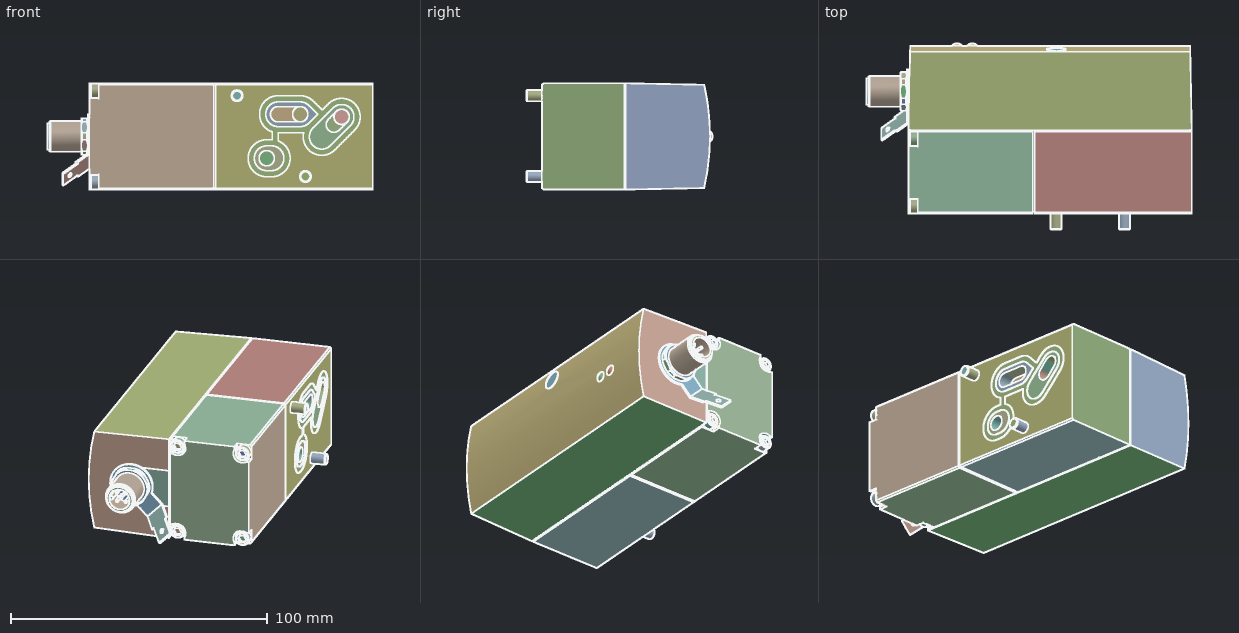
import cadquery as cq
import math


body_length = 110.4
body_height = 41.5
half_height = body_height / 2
block_depth = 32.1
block_edge_chamfer = 0.6
seam_width = 0.8
cover_gap = 0.5
seam_depth = 0.8
seam_core_half = half_height - seam_depth
block_seam_x = 48.7
cover_start_y = block_depth + cover_gap
cover_draft = 1.1
cover_edge_y = 63.2
cover_crown_y = 65.5

lamp_positions_x = (18.9, 24.9)
lamp_diameter = 4.0
lamp_top_y = 66.5
lamp_root = 0.4
button_x = 57.6
button_z = 15.2
button_diameter = 7.5
button_recess = 0.3

screw_inset_y = 2.9
screw_spacing_y = 26.4
screw_inset_z = 2.9
screw_head_diameter = 5.5
screw_head_recess = 0.3
screw_head_chamfer = 0.4
screw_socket_flats = 2.9
screw_socket_depth = 1.5
screw_pocket_diameter = 7.0
screw_opening_width = 6.0
screw_pocket_depth = 3.5

pin_positions = ((57.5, 15.9), (84.1, -15.6))
pin_diameter = 4.5
pin_length = 6.1
pin_chamfer = 0.4

port_diameter = 6.0
port_depth = 10.2
port_slot_depth = 6.3
land_radius = 4.8
seal_width = 2.4
seal_depth = 0.3
upper_port = (82.1, 8.6)
upper_slot_end = (73.5, 8.6)
angled_port = (98.2, 7.6)
angled_slot_run = 3.0
angled_land_run = 7.7
lower_port = (69.0, -8.5)
lower_land_end = (71.0, -8.5)
seal_bridge_x = 72.3

connector_y = 47.7
connector_length = 16.5
barrel_diameter = 12.0
tip_diameter = 10.4
tip_length = 0.8
tip_cone_end = 1.4
tip_cone_diameter = 11.3
socket_diameter = 8.2
socket_depth = 8.9
contact_diameter = 1.0
contact_offset = 1.8
contact_length = 6.3
key_diameter = 1.4
key_offset = 3.5
nut_diameter = 15.2
nut_flats = 14.3
nut_end = 3.2
nut_chamfer = 0.4
pad_width = 15.0
pad_thickness = 1.3

ring_diameter = 17.3
tab_thickness = 0.8
tab_width = 8.1
tab_bend_distance = 13.5
tab_rise = 9.9
tab_shoulder_distance = 18.1
tab_tip_width = 6.3
tab_hole_distance = 20.8
tab_hole_diameter = 1.8
tab_angle = 45.0


def box(x_range, y_range, z_range):
    """Box between pairs of limits."""
    size = [high - low for low, high in (x_range, y_range, z_range)]
    corner = (x_range[0], y_range[0], z_range[0])
    return cq.Workplane("XY").box(*size, centered=False).translate(corner)


def cylinder_x(diameter, start_x, end_x, y, z):
    """Cylinder along X."""
    plane = cq.Workplane("YZ", origin=(start_x, y, z))
    return plane.circle(diameter / 2).extrude(end_x - start_x)


def cylinder_y(diameter, start_y, end_y, x, z):
    """Cylinder along Y."""
    plane = cq.Workplane("XZ", origin=(x, start_y, z))
    return plane.circle(diameter / 2).extrude(start_y - end_y)


def hexagon_x(flats, start_x, end_x, y, z):
    """Hexagonal prism along X, sized across its flats."""
    corners = flats / math.cos(math.pi / 6)
    plane = cq.Workplane("YZ", origin=(start_x, y, z))
    return plane.polygon(6, corners).extrude(end_x - start_x)


def capsule(start, end, radius, depth):
    """Round-ended slot cutter between two (x, z) centres, sunk into the y = 0 face."""
    run_x = end[0] - start[0]
    run_z = end[1] - start[1]
    length = math.hypot(run_x, run_z)
    angle = math.degrees(math.atan2(run_z, run_x))
    plane = cq.Workplane("XZ").center((start[0] + end[0]) / 2, (start[1] + end[1]) / 2)
    return plane.slot2D(length + 2 * radius, 2 * radius, angle).extrude(-depth)


def down_left(point, run):
    """Point reached by going the same run towards -X and -Z."""
    return (point[0] - run, point[1] - run)


def make_block():
    block = box((0, body_length), (0, block_depth), (-half_height, half_height))
    block = block.faces("<Y").edges("|X").chamfer(block_edge_chamfer)
    seam_x = (block_seam_x - seam_width / 2, block_seam_x + seam_width / 2)
    seam = box(seam_x, (0, block_depth), (-half_height, half_height))
    seam = seam.cut(box(seam_x, (seam_depth, block_depth), (-seam_core_half, seam_core_half)))
    return block.cut(seam)


def make_seam_core():
    """Set-back strip that joins the block to the cover."""
    return box(
        (seam_depth, body_length - seam_depth),
        (block_depth - seam_depth, cover_start_y + seam_depth),
        (-seam_core_half, seam_core_half),
    )


def make_cover():
    """Drafted cover with a crowned +Y face, lamps, a button recess and a connector pad."""
    base = cq.Plane(origin=(body_length / 2, cover_start_y, 0), xDir=(1, 0, 0), normal=(0, 1, 0))
    cover = (
        cq.Workplane(base)
        .rect(body_length, body_height)
        .extrude(cover_crown_y - cover_start_y, taper=cover_draft)
    )
    edge_z = half_height - (cover_edge_y - cover_start_y) * math.tan(math.radians(cover_draft))
    crown = (
        cq.Workplane("YZ")
        .moveTo(cover_start_y, -half_height)
        .lineTo(cover_edge_y, -half_height)
        .lineTo(cover_edge_y, -edge_z)
        .threePointArc((cover_crown_y, 0), (cover_edge_y, edge_z))
        .lineTo(cover_edge_y, half_height)
        .lineTo(cover_start_y, half_height)
        .close()
        .extrude(body_length)
    )
    cover = cover.intersect(crown)
    recess = cylinder_y(button_diameter, cover_start_y, cover_crown_y, button_x, button_z)
    recess = recess.cut(crown.translate((0, -button_recess, 0)))
    cover = cover.cut(recess)
    for lamp_x in lamp_positions_x:
        cover = cover.union(make_lamp(lamp_x))
    pad_radius = pad_width / 2
    pad = box((0, pad_thickness), (cover_start_y, connector_y), (-pad_radius, pad_radius))
    return cover.union(pad).union(cylinder_x(pad_width, 0, pad_thickness, connector_y, 0))


def make_lamp(lamp_x):
    """Low dome standing on the crown."""
    radius = lamp_diameter / 2
    height = lamp_top_y - cover_crown_y
    sphere_radius = (radius**2 + height**2) / (2 * height)
    dome = cq.Workplane("XY").sphere(sphere_radius)
    dome = dome.translate((lamp_x, lamp_top_y - sphere_radius, 0))
    return dome.intersect(cylinder_y(lamp_diameter, cover_crown_y - lamp_root, lamp_top_y, lamp_x, 0))


def screw_places():
    """Centre of each screw with the directions in which its corner lies."""
    screw_z = half_height - screw_inset_z
    for screw_y, side_y in ((screw_inset_y, -1), (screw_inset_y + screw_spacing_y, 1)):
        for side_z in (-1, 1):
            yield screw_y, side_z * screw_z, side_y, side_z


def make_screw_pocket(y, z, side_y, side_z):
    """Counterbore that opens through both faces at its corner."""
    pocket = cylinder_x(screw_pocket_diameter, 0, screw_pocket_depth, y, z)
    half_width = screw_opening_width / 2
    mid_x = screw_pocket_depth / 2
    openings = (
        (half_width, screw_opening_width, side_y * half_width / 2, 0),
        (screw_opening_width, half_width, 0, side_z * half_width / 2),
    )
    for size_y, size_z, shift_y, shift_z in openings:
        opening = cq.Workplane("XY").box(screw_pocket_depth, size_y, size_z)
        pocket = pocket.union(opening.translate((mid_x, y + shift_y, z + shift_z)))
    corner = cq.Workplane("XY").box(screw_pocket_depth, screw_opening_width, screw_opening_width)
    corner = corner.translate((mid_x, y + side_y * half_width, z + side_z * half_width))
    pocket = pocket.union(corner)
    within_block = box((0, screw_pocket_depth), (0, block_depth), (-half_height, half_height))
    return pocket.intersect(within_block)


def make_screw_head(y, z):
    head = cylinder_x(screw_head_diameter, screw_head_recess, screw_pocket_depth, y, z)
    head = head.faces("<X").chamfer(screw_head_chamfer)
    socket_floor_x = screw_head_recess + screw_socket_depth
    socket = hexagon_x(screw_socket_flats, screw_head_recess, socket_floor_x, y, z)
    return head.cut(socket)


def make_pin(x, z):
    pin = cylinder_y(pin_diameter, 0, -pin_length, x, z)
    return pin.faces("<Y").chamfer(pin_chamfer)


def pointed_capsule(radius):
    """Capsule around the upper slot, its +X end drawn out to a right-angled point."""
    shape = capsule(upper_slot_end, upper_port, radius, seal_depth)
    tangent = radius / math.sqrt(2)
    point = (
        cq.Workplane("XZ")
        .center(*upper_port)
        .polyline(((0, 0), (tangent, tangent), (2 * tangent, 0), (tangent, -tangent)))
        .close()
        .extrude(-seal_depth)
    )
    return shape.union(point)


def seal_areas(radius):
    """The three areas around the ports, grown to a radius."""
    angled_end = down_left(angled_port, angled_land_run)
    return (
        pointed_capsule(radius),
        capsule(angled_port, angled_end, radius, seal_depth),
        capsule(lower_port, lower_land_end, radius, seal_depth),
    )


def make_seal_groove():
    """Shallow groove round all three lands, joined by a short bridge."""
    groove = box(
        (seal_bridge_x - seal_width / 2, seal_bridge_x + seal_width / 2),
        (0, seal_depth),
        (lower_port[1] + land_radius, upper_port[1] - land_radius),
    )
    for area in seal_areas(land_radius + seal_width):
        groove = groove.union(area)
    for land in seal_areas(land_radius):
        groove = groove.cut(land)
    return groove


def make_ports():
    radius = port_diameter / 2
    ports = capsule(upper_slot_end, upper_port, radius, port_slot_depth)
    angled_end = down_left(angled_port, angled_slot_run)
    ports = ports.union(capsule(angled_port, angled_end, radius, port_slot_depth))
    for x, z in (upper_port, angled_port, lower_port):
        ports = ports.union(cylinder_y(port_diameter, 0, port_depth, x, z))
    return ports


def make_connector():
    """Barrel with stepped tip, contacts and key, and the clamping nut."""
    tip_x = -connector_length
    cone_start = connector_length - tip_length
    cone_end = connector_length - tip_cone_end
    barrel = (
        cq.Workplane("XY")
        .polyline(
            (
                (0, 0),
                (0, barrel_diameter / 2),
                (-cone_end, barrel_diameter / 2),
                (-cone_start, tip_cone_diameter / 2),
                (-cone_start, tip_diameter / 2),
                (tip_x, tip_diameter / 2),
                (tip_x, 0),
            )
        )
        .close()
        .revolve(360, (0, 0, 0), (1, 0, 0))
        .translate((0, connector_y, 0))
    )
    floor_x = tip_x + socket_depth
    barrel = barrel.cut(cylinder_x(socket_diameter, tip_x, floor_x, connector_y, 0))
    offsets = (-contact_offset, contact_offset)
    contacts = [(offset_y, offset_z) for offset_y in offsets for offset_z in offsets]
    for offset_y, offset_z in contacts + [(0, 0)]:
        contact_y = connector_y + offset_y
        contact = cylinder_x(contact_diameter, floor_x - contact_length, floor_x, contact_y, offset_z)
        barrel = barrel.union(contact)
    key_y = connector_y + key_offset
    barrel = barrel.union(cylinder_x(key_diameter, tip_x + tip_length, floor_x, key_y, 0))
    nut = hexagon_x(nut_flats, -nut_end, -tab_thickness, connector_y, 0)
    rounding = cylinder_x(nut_diameter, -nut_end, -tab_thickness, connector_y, 0)
    rounding = rounding.edges().chamfer(nut_chamfer)
    return barrel.union(nut.intersect(rounding))


def make_tab():
    """Ring and tongue, built towards -Y and then turned about the connector axis."""
    slant = tab_thickness * math.sqrt(2)
    bend_inside = tab_bend_distance + slant - tab_thickness
    tip_distance = tab_bend_distance + tab_rise
    tip_x = -tab_thickness - tab_rise
    tongue = (
        cq.Workplane("XY")
        .polyline(
            (
                (0, 0),
                (-tab_thickness, 0),
                (-tab_thickness, -tab_bend_distance),
                (tip_x, -tip_distance),
                (tip_x + slant / 2, -tip_distance - slant / 2),
                (0, -bend_inside),
            )
        )
        .close()
        .extrude(tab_width / 2, both=True)
    )
    for side in (-1, 1):
        shoulder_y = (-tip_distance - tab_thickness, -tab_shoulder_distance)
        inner_z, outer_z = side * tab_tip_width / 2, side * tab_width / 2
        relief = box((tip_x, 0), shoulder_y, sorted((inner_z, outer_z)))
        tongue = tongue.cut(relief)
    hole_x = -tab_thickness - (tab_hole_distance - tab_bend_distance)
    across_tongue = cq.Plane(origin=(hole_x, -tab_hole_distance, 0), xDir=(0, 0, 1), normal=(1, -1, 0))
    hole = cq.Workplane(across_tongue).circle(tab_hole_diameter / 2).extrude(2 * tab_thickness, both=True)
    ring = cylinder_x(ring_diameter, -tab_thickness, 0, 0, 0)
    tab = tongue.cut(hole).union(ring)
    return tab.rotate((0, 0, 0), (1, 0, 0), tab_angle).translate((0, connector_y, 0))


result = make_block().union(make_seam_core()).union(make_cover())
for place in screw_places():
    result = result.cut(make_screw_pocket(*place))
    result = result.union(make_screw_head(*place[:2]))
result = result.cut(make_seal_groove()).cut(make_ports())
for pin_x, pin_z in pin_positions:
    result = result.union(make_pin(pin_x, pin_z))
result = result.union(make_connector()).union(make_tab())